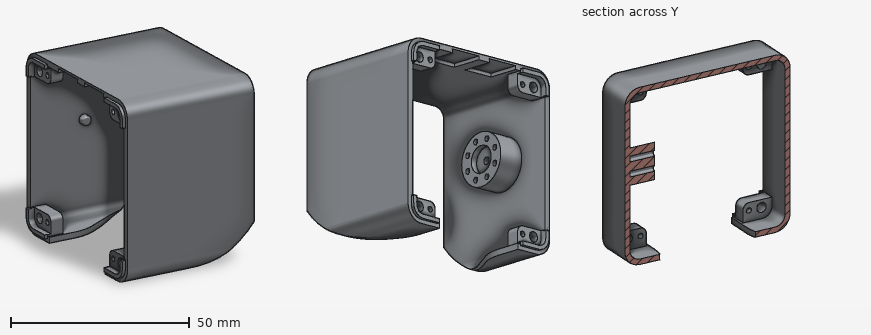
import cadquery as cq
import math

side = 54.0
half = side / 2
depth = 41.5
wall = 1.8
corner_radius = 5.0

slot_front_width = 30.0
slot_back_width = 47.0
slot_flare_angle = 30.0
slot_flare_start = 8.0
slot_flare_radius = 15.0

axis_y = 17.5
axis_z = 3.5
back_radius = half + axis_z

boss_diameter = 16.0
boss_length = 8.0
horn_diameter = 8.1
horn_depth = 2.0
horn_screw_diameter = 2.2
boss_screw_diameter = 1.6
boss_screw_circle = 12.0
boss_screw_count = 8

pin_diameter = 3.0
pin_length = 2.2
pin_tip_round = 0.9

block_reach_x = 11.25
block_reach_z = 7.6
block_length = 5.0
block_recess = 1.0
block_round = 2.0
screw_diameter = 3.0
pilot_diameter = 1.6
screw_inset = 5.2
pilot_inset_x = 9.35

lip_inset = 1.2
lip_thickness = 1.2
lip_height = 1.0
lip_reach_x = 11.1
lip_reach_z = 7.4

pocket_width = 10.0
pocket_length = 10.0
pocket_roof = 0.7
pocket_centers_x = (-5.0, 9.0)


def box(x_range, y_range, z_range):
    """Box spanning the given (low, high) ranges."""
    ranges = (x_range, y_range, z_range)
    sizes = [high - low for low, high in ranges]
    lows = [low for low, high in ranges]
    return cq.Workplane("XY").box(*sizes, centered=False).translate(tuple(lows))


def rounded_prism(inset, front, back):
    """Rounded square, inset from the outer outline, between two Y positions."""
    width = side - 2 * inset
    return (
        cq.Workplane("XZ", origin=(0, front, 0))
        .rect(width, width)
        .extrude(front - back)
        .edges("|Y")
        .fillet(corner_radius - inset)
    )


def y_cylinder(diameter, x, z, front, back):
    """Cylinder along Y."""
    return (
        cq.Workplane("XZ", origin=(0, front, 0))
        .center(x, z)
        .circle(diameter / 2)
        .extrude(front - back)
    )


def axis_cylinder(diameter, x_start, x_end):
    """Cylinder on the pivot axis."""
    return (
        cq.Workplane("YZ", origin=(x_start, 0, 0))
        .center(axis_y, axis_z)
        .circle(diameter / 2)
        .extrude(x_end - x_start)
    )


def mirrored_corners(corner):
    """The (+X, +Z) corner feature repeated in all four corners."""
    pair = corner.union(corner.mirror("YZ"))
    return pair.union(pair.mirror("XY"))


def make_side_profile():
    """Side outline with the lower back rounded about the pivot axis, as a full-width prism."""
    back_z = axis_z - math.sqrt(back_radius**2 - (depth - axis_y) ** 2)
    middle = math.asin((depth - axis_y) / back_radius) / 2
    arc_middle = (
        axis_y + back_radius * math.sin(middle),
        axis_z - back_radius * math.cos(middle),
    )
    return (
        cq.Workplane("YZ", origin=(-half, 0, 0))
        .moveTo(0, half)
        .lineTo(depth, half)
        .lineTo(depth, back_z)
        .threePointArc(arc_middle, (axis_y, -half))
        .lineTo(0, -half)
        .close()
        .extrude(side)
    )


def make_slot():
    """Bottom slot cutter, as tall as the rounded corners of the shell."""
    angle = math.radians(slot_flare_angle)
    front_x = slot_front_width / 2
    back_x = slot_back_width / 2
    arc_rise = slot_flare_radius * (1 - math.cos(angle))
    arc_run = slot_flare_radius * math.sin(angle)
    straight_run = (back_x - front_x - 2 * arc_rise) / math.tan(angle)
    flare_end = slot_flare_start + 2 * arc_run + straight_run
    middle_rise = slot_flare_radius * (1 - math.cos(angle / 2))
    middle_run = slot_flare_radius * math.sin(angle / 2)
    right_half = (
        cq.Workplane("XY", origin=(0, 0, -half))
        .lineTo(front_x, 0)
        .lineTo(front_x, slot_flare_start)
        .threePointArc(
            (front_x + middle_rise, slot_flare_start + middle_run),
            (front_x + arc_rise, slot_flare_start + arc_run),
        )
        .lineTo(back_x - arc_rise, flare_end - arc_run)
        .threePointArc((back_x - middle_rise, flare_end - middle_run), (back_x, flare_end))
        .lineTo(back_x, depth)
        .lineTo(0, depth)
        .close()
        .extrude(corner_radius)
    )
    return right_half.union(right_half.mirror("YZ"))


def make_shell():
    """Open-ended square tube with the bottom slotted and the lower back rounded."""
    tube = rounded_prism(0, 0, depth).cut(rounded_prism(wall, 0, depth))
    return tube.cut(make_slot()).intersect(make_side_profile())


def make_pockets():
    """Shallow pockets under the top wall."""
    pockets = cq.Workplane("XY")
    for center_x in pocket_centers_x:
        x_range = (center_x - pocket_width / 2, center_x + pocket_width / 2)
        pockets = pockets.union(box(x_range, (0, pocket_length), (half - wall, half - pocket_roof)))
    return pockets


def make_blocks():
    """Corner screw blocks, their faces recessed inside the lips."""
    block = (
        box((half - block_reach_x, half), (0, block_length), (half - block_reach_z, half))
        .edges("|Y and <X and <Z")
        .fillet(block_round)
        .intersect(rounded_prism(wall / 2, 0, block_length))
        .cut(rounded_prism(lip_inset + lip_thickness, 0, block_recess))
    )
    screw_z = half - screw_inset
    holes = ((screw_diameter, half - screw_inset), (pilot_diameter, half - pilot_inset_x))
    for diameter, x in holes:
        block = block.cut(y_cylinder(diameter, x, screw_z, 0, block_length))
    return mirrored_corners(block)


def make_lips():
    """Corner lips standing on the front rim."""
    ring = rounded_prism(lip_inset, -lip_height, 0)
    ring = ring.cut(rounded_prism(lip_inset + lip_thickness, -lip_height, 0))
    corner = box((half - lip_reach_x, half), (-lip_height, 0), (half - lip_reach_z, half))
    return mirrored_corners(ring.intersect(corner))


def make_boss():
    """Horn boss with its recess, central screw hole and ring of screw holes."""
    wall_x = half - wall
    face_x = wall_x - boss_length
    boss = axis_cylinder(boss_diameter, face_x, wall_x)
    boss = boss.cut(axis_cylinder(horn_diameter, face_x, face_x + horn_depth))
    boss = boss.cut(axis_cylinder(horn_screw_diameter, face_x, wall_x))
    first_angle = 180 / boss_screw_count
    screws = (
        cq.Workplane("YZ", origin=(face_x, axis_y, axis_z))
        .polarArray(boss_screw_circle / 2, first_angle, 360, boss_screw_count)
        .circle(boss_screw_diameter / 2)
        .extrude(boss_length)
    )
    return boss.cut(screws)


def make_pin():
    """Idler pin with a rounded tip."""
    wall_x = -half + wall
    pin = axis_cylinder(pin_diameter, wall_x, wall_x + pin_length)
    return pin.faces(">X").edges().fillet(pin_tip_round)


result = make_shell().cut(make_pockets())
for feature in (make_blocks(), make_lips(), make_boss(), make_pin()):
    result = result.union(feature)